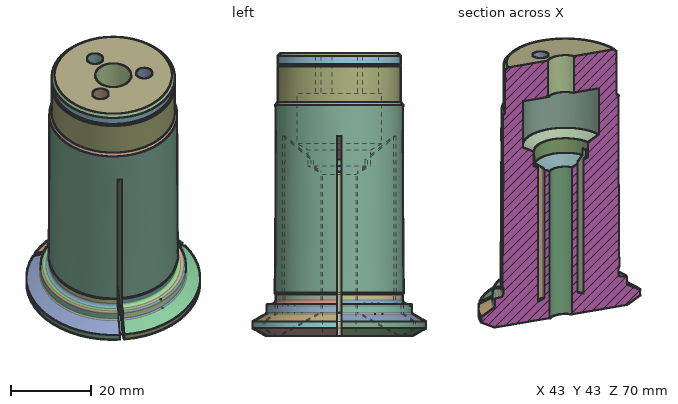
import cadquery as cq
import math

height = 70.0
flange_diameter = 43.0

flange_base_diameter = 36.0
flange_rim_bottom = 2.0
flange_rim_top = 3.6
flange_cone_angle = 30.0
collar_diameter = 36.0
collar_top = 8.0
collar_edge_fillet = 0.5
collar_root_fillet = 0.5

neck_diameter = 31.5
neck_fillet = 0.9
neck_top = 10.3
body_diameter = 32.0
body_top_diameter = 31.65
body_bottom = 10.8
body_top = 57.15

head_diameter = 30.5
head_bottom = 57.9
head_top_diameter = 29.0
head_chamfer = (head_diameter - head_top_diameter) / 2
head_groove_top = 67.3
head_groove_root = 67.05
head_groove_bottom = 66.6
head_groove_depth = 0.2

bore_diameter = 8.2
chamber_bottom = 42.05
chamber_diameter = 15.5
chamber_wall_top = 46.0
upper_chamber_diameter = 21.0
chamber_cone_angle = 30.0
chamber_top = 60.0
inlet_diameter = 8.92

port_diameter = 4.0
port_circle_radius = 7.7
port_angles = (-90.0, 30.0, 150.0)

slot_width = 1.1
slot_angles = (180.0, 60.0, -60.0)
slot_root_radius = 5.25
slot_floor_radius = 17.25
slot_floor_rise = 5.85
slot_ceiling_height = 49.6
slot_ceiling_angle = 35.7


def revolve_profile(profile):
    return profile.close().revolve(360, (0, 0, 0), (0, 1, 0))


def make_outside():
    flange_radius = flange_diameter / 2
    collar_radius = collar_diameter / 2
    neck_radius = neck_diameter / 2
    body_radius = body_diameter / 2
    head_radius = head_diameter / 2
    cone_top = flange_rim_top + (flange_radius - collar_radius) * math.tan(math.radians(flange_cone_angle))

    turn = math.radians(90 - flange_cone_angle)
    tangent_length = collar_root_fillet * math.tan(turn / 2)
    root_start = (
        collar_radius + tangent_length * math.sin(turn),
        cone_top - tangent_length * math.cos(turn),
    )
    root_end = (collar_radius, cone_top + tangent_length)
    root_middle = (
        collar_radius + collar_root_fillet * (1 - math.cos(turn / 2)),
        root_end[1] - collar_root_fillet * math.sin(turn / 2),
    )

    profile = (
        cq.Workplane("XZ")
        .moveTo(0, 0)
        .lineTo(flange_base_diameter / 2, 0)
        .lineTo(flange_radius, flange_rim_bottom)
        .lineTo(flange_radius, flange_rim_top)
        .lineTo(*root_start)
        .threePointArc(root_middle, root_end)
        .lineTo(collar_radius, collar_top - collar_edge_fillet)
        .radiusArc((collar_radius - collar_edge_fillet, collar_top), -collar_edge_fillet)
        .lineTo(neck_radius + neck_fillet, collar_top)
        .radiusArc((neck_radius, collar_top + neck_fillet), neck_fillet)
        .lineTo(neck_radius, neck_top)
        .lineTo(body_radius, body_bottom)
        .lineTo(body_top_diameter / 2, body_top)
        .lineTo(head_radius, head_bottom)
        .lineTo(head_radius, head_groove_bottom)
        .lineTo(head_radius - head_groove_depth, head_groove_root)
        .lineTo(head_radius, head_groove_top)
        .lineTo(head_radius, height - head_chamfer)
        .lineTo(head_top_diameter / 2, height)
        .lineTo(0, height)
    )
    return revolve_profile(profile)


def make_inside():
    bore_radius = bore_diameter / 2
    chamber_radius = chamber_diameter / 2
    upper_radius = upper_chamber_diameter / 2
    inlet_radius = inlet_diameter / 2
    cone_slope = math.tan(math.radians(chamber_cone_angle))
    bore_top = chamber_bottom - (chamber_radius - bore_radius) * cone_slope
    upper_wall_bottom = chamber_wall_top + (upper_radius - chamber_radius) * cone_slope

    profile = (
        cq.Workplane("XZ")
        .moveTo(0, 0)
        .lineTo(bore_radius, 0)
        .lineTo(bore_radius, bore_top)
        .lineTo(chamber_radius, chamber_bottom)
        .lineTo(chamber_radius, chamber_wall_top)
        .lineTo(upper_radius, upper_wall_bottom)
        .lineTo(upper_radius, chamber_top)
        .lineTo(inlet_radius, chamber_top)
        .lineTo(inlet_radius, height)
        .lineTo(0, height)
    )
    return revolve_profile(profile)


def make_port(angle):
    return (
        cq.Workplane("XY")
        .workplane(offset=chamber_top)
        .center(
            port_circle_radius * math.cos(math.radians(angle)),
            port_circle_radius * math.sin(math.radians(angle)),
        )
        .circle(port_diameter / 2)
        .extrude(height - chamber_top)
    )


def make_slot(angle):
    body_radius = body_diameter / 2
    outer_radius = flange_diameter
    ceiling_slope = math.tan(math.radians(slot_ceiling_angle))
    side_view = [
        (slot_root_radius, slot_floor_rise),
        (slot_floor_radius, 0),
        (outer_radius, 0),
        (outer_radius, slot_ceiling_height + (outer_radius - body_radius) * ceiling_slope),
        (slot_root_radius, slot_ceiling_height - (body_radius - slot_root_radius) * ceiling_slope),
    ]
    wedge = cq.Workplane("XZ").polyline(side_view).close().extrude(slot_width / 2, both=True)

    end_radius = slot_width / 2
    rounded_plan = (
        cq.Workplane("XY")
        .moveTo(outer_radius, -end_radius)
        .lineTo(slot_root_radius + end_radius, -end_radius)
        .threePointArc((slot_root_radius, 0), (slot_root_radius + end_radius, end_radius))
        .lineTo(outer_radius, end_radius)
        .close()
        .extrude(height)
    )
    return wedge.intersect(rounded_plan).rotate((0, 0, 0), (0, 0, 1), angle)


result = make_outside().cut(make_inside())
for port_angle in port_angles:
    result = result.cut(make_port(port_angle))
for slot_angle in slot_angles:
    result = result.cut(make_slot(slot_angle))